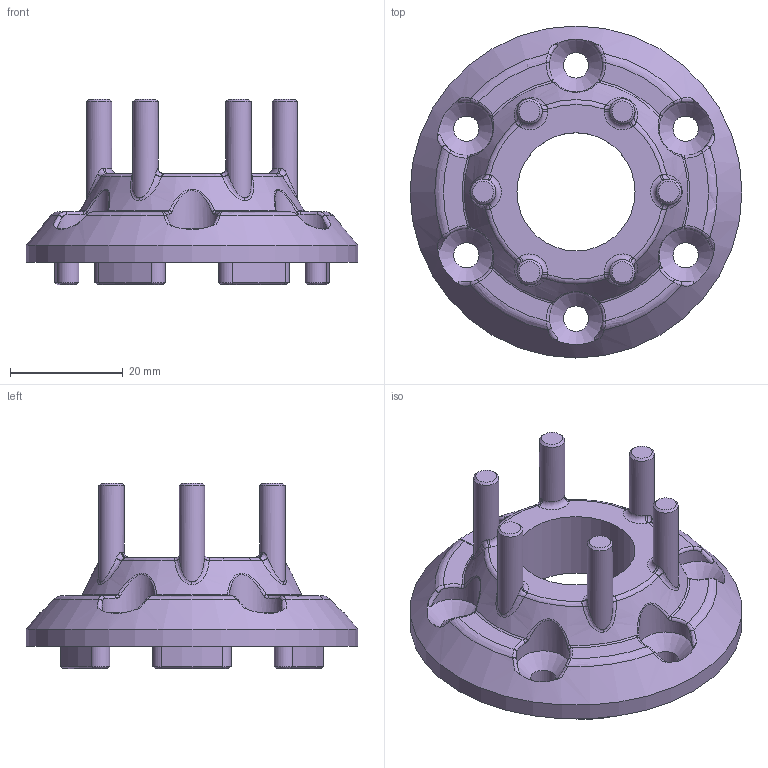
import cadquery as cq
import math

feature_count = 6
pitch_angle = 360 / feature_count
half_pitch = pitch_angle / 2

flange_radius = 29.5
rim_height = 3.0
ledge_height = 9.0
ledge_corner_radius = 24.5
ledge_fillet = 2.0

hub_height = 15.75
hub_foot_radius = 20.0
hub_cone_angle = 30.0
hub_taper = (hub_height - ledge_height) * math.tan(math.radians(hub_cone_angle))
hub_top_radius = hub_foot_radius - hub_taper
hub_top_fillet = 1.0
hub_foot_fillet = 0.4
bore_radius = 10.5
underside_recess_radius = 18.0
underside_recess_depth = 3.5

pin_radius = 2.25
pin_circle_radius = 16.5
pin_top = 29.0
pin_chamfer = 0.4
pin_root_fillet = 1.0

screw_circle_radius = 22.5
screw_hole_radius = 2.25
screw_head_radius = 4.75
screw_seat_height = 6.0
countersink_depth = screw_head_radius - screw_hole_radius
recess_edge_fillet = 0.5

foot_height = 4.0
foot_circle_radius = 22.55
foot_half_width = 1.9
foot_half_angle = 12.9
foot_chamfer = 0.4

edge_tolerance = 0.01
edge_sample_positions = (0.2, 0.5, 0.8)


def at_polar(shape, radius, angle):
    """Move a shape outwards along X, then turn it about Z."""
    return shape.translate((radius, 0, 0)).rotate((0, 0, 0), (0, 0, 1), angle)


def polar_point(radius, angle):
    """X and Y of a point at the given radius and angle in degrees."""
    turn = math.radians(angle)
    return (radius * math.cos(turn), radius * math.sin(turn))


def circle_edges(body, radius, height):
    """Edges lying on the circle of the given radius about Z, at the given height."""

    def on_circle(edge):
        middle = edge.positionAt(0.5)
        return (
            abs(math.hypot(middle.x, middle.y) - radius) < edge_tolerance
            and abs(middle.z - height) < edge_tolerance
            and edge.BoundingBox().zlen < edge_tolerance
        )

    return [edge for edge in body.val().Edges() if on_circle(edge)]


def lies_on_cylinders(edge, radius, circle_radius, first_angle):
    """True if the edge lies on one of the upright cylinders spaced evenly around Z."""
    points = [edge.positionAt(position) for position in edge_sample_positions]
    for index in range(feature_count):
        axis_x, axis_y = polar_point(circle_radius, first_angle + index * pitch_angle)
        gaps = [abs(math.hypot(point.x - axis_x, point.y - axis_y) - radius) for point in points]
        if max(gaps) < edge_tolerance:
            return True
    return False


def make_body():
    """Conical flange with a flat ledge and a conical hub, without the bore."""
    profile = [
        (0, 0),
        (flange_radius, 0),
        (flange_radius, rim_height),
        (ledge_corner_radius, ledge_height),
        (hub_foot_radius, ledge_height),
        (hub_top_radius, hub_height),
        (0, hub_height),
    ]
    body = cq.Workplane("XZ").polyline(profile).close().revolve(360, (0, 0), (0, 1))
    for radius, height, fillet in (
        (ledge_corner_radius, ledge_height, ledge_fillet),
        (hub_foot_radius, ledge_height, hub_foot_fillet),
        (hub_top_radius, hub_height, hub_top_fillet),
    ):
        body = body.newObject(circle_edges(body, radius, height)).fillet(fillet)
    return body


def add_pins(body):
    """Pins standing across the hub's top edge, filleted at the root."""
    pin = cq.Workplane("XY").workplane(offset=rim_height).circle(pin_radius)
    pin = pin.extrude(pin_top - rim_height).faces(">Z").chamfer(pin_chamfer)
    for index in range(feature_count):
        body = body.union(at_polar(pin, pin_circle_radius, index * pitch_angle))

    def is_root(edge):
        below_hub_top = edge.BoundingBox().zmax < hub_height + edge_tolerance
        return below_hub_top and lies_on_cylinders(edge, pin_radius, pin_circle_radius, 0)

    roots = [edge for edge in body.val().Edges() if is_root(edge)]
    return body.newObject(roots).fillet(pin_root_fillet)


def cut_screw_recesses(body):
    """Clearance pockets for countersunk screws, with softened rims and through holes."""
    pocket = cq.Workplane("XY").workplane(offset=screw_seat_height).circle(screw_head_radius)
    pocket = pocket.extrude(hub_height - screw_seat_height)
    countersink = cq.Solid.makeCone(
        screw_hole_radius,
        screw_head_radius,
        countersink_depth,
        pnt=cq.Vector(0, 0, screw_seat_height - countersink_depth),
    )
    hole = cq.Workplane("XY").circle(screw_hole_radius).extrude(screw_seat_height)
    cutter = pocket.union(cq.Workplane(countersink)).union(hole)
    for index in range(feature_count):
        body = body.cut(at_polar(cutter, screw_circle_radius, half_pitch + index * pitch_angle))

    def is_rim(edge):
        above_seat = edge.Center().z > screw_seat_height + edge_tolerance
        on_pocket = lies_on_cylinders(edge, screw_head_radius, screw_circle_radius, half_pitch)
        return above_seat and on_pocket and edge.geomType() != "LINE"

    rims = [edge for edge in body.val().Edges() if is_rim(edge)]
    return body.newObject(rims).fillet(recess_edge_fillet)


def make_foot():
    """Curved slot-shaped pad below the flange, centred on the X axis."""
    inner = foot_circle_radius - foot_half_width
    outer = foot_circle_radius + foot_half_width
    end_angle = foot_half_angle + 2 * math.degrees(math.asin(foot_half_width / 2 / foot_circle_radius))
    return (
        cq.Workplane("XY")
        .moveTo(*polar_point(outer, -foot_half_angle))
        .threePointArc((outer, 0), polar_point(outer, foot_half_angle))
        .threePointArc(polar_point(foot_circle_radius, end_angle), polar_point(inner, foot_half_angle))
        .threePointArc((inner, 0), polar_point(inner, -foot_half_angle))
        .threePointArc(polar_point(foot_circle_radius, -end_angle), polar_point(outer, -foot_half_angle))
        .close()
        .extrude(-foot_height)
        .faces("<Z")
        .chamfer(foot_chamfer)
    )


def add_feet(body):
    """Six feet on the underside, midway between the screws."""
    foot = make_foot()
    for index in range(feature_count):
        body = body.union(at_polar(foot, 0, index * pitch_angle))
    return body


def cut_bore_and_recess(body):
    """Through bore opening into a wide round recess in the underside."""
    bore = cq.Workplane("XY").circle(bore_radius).extrude(hub_height)
    recess = cq.Workplane("XY").circle(underside_recess_radius).extrude(underside_recess_depth)
    return body.cut(bore).cut(recess)


result = make_body()
result = add_pins(result)
result = cut_screw_recesses(result)
result = cut_bore_and_recess(result)
result = add_feet(result)